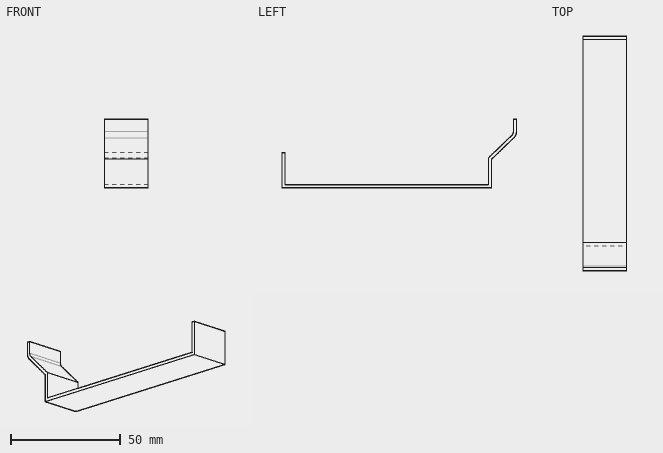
import cadquery as cq
import math

width = 20.0
length = 107.0
height = 31.4

thickness = 1.5
rear_leg_height = 16.0
front_leg_height = 13.1
base_length = 95.7
lip_bend_radius = 4.0
slope_angle = 44.0

rear_y = length / 2
lip_y = -length / 2
front_y = rear_y - base_length

slope = math.tan(math.radians(slope_angle))
mitre_shift = thickness * math.tan(math.radians(90 - slope_angle) / 2)
lip_corner_z = front_leg_height + (front_y - lip_y) * slope

profile = (
    cq.Workplane("YZ")
    .moveTo(rear_y, 0)
    .lineTo(front_y, 0)
    .lineTo(front_y, front_leg_height)
    .lineTo(lip_y, lip_corner_z)
    .lineTo(lip_y, height)
    .lineTo(lip_y + thickness, height)
    .lineTo(lip_y + thickness, lip_corner_z + mitre_shift)
    .lineTo(front_y + thickness, front_leg_height + mitre_shift)
    .lineTo(front_y + thickness, thickness)
    .lineTo(rear_y - thickness, thickness)
    .lineTo(rear_y - thickness, rear_leg_height)
    .lineTo(rear_y, rear_leg_height)
    .close()
)
strip = profile.extrude(width / 2, both=True)


def round_lip_bend(body, y, z, radius):
    """Round the edge across the strip that passes through (y, z)."""
    edge = cq.selectors.NearestToPointSelector((0, y, z))
    return body.edges(edge).fillet(radius)


strip = round_lip_bend(strip, lip_y, lip_corner_z, lip_bend_radius)
result = round_lip_bend(
    strip, lip_y + thickness, lip_corner_z + mitre_shift, lip_bend_radius - thickness
)